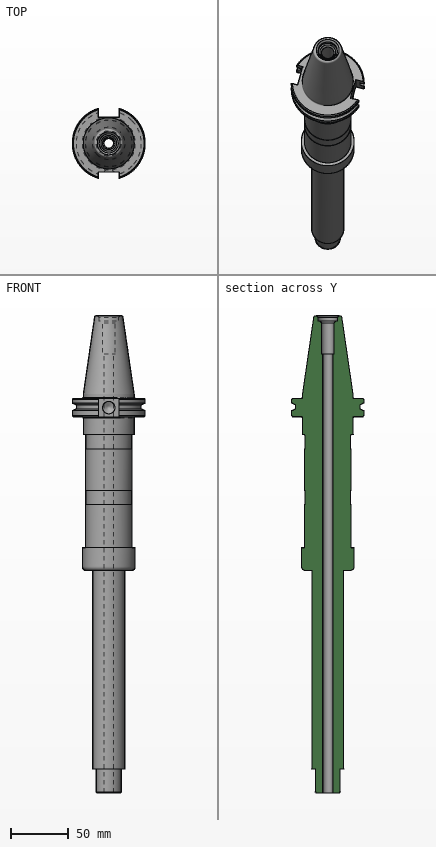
import cadquery as cq
total_length = 413.5
gauge_z = 345.0
flange_top_z = 342.0
groove_z = 334.5
flange_bottom_z = 325.7
collar_bottom_z = 310.5
body_joint_zs = (298.0, 262.0, 249.5)
nut_top_z = 212.5
nut_bottom_z = 192.5
shank_bottom_z = 20.5

taper_ratio = 7 / 24
gauge_diameter = 44.2
flange_diameter = 63.2
groove_floor_diameter = 56.2
body_diameter = 40.5
sleeve_diameter = 40.0
nut_diameter = 46.0
shank_diameter = 28.0
tip_diameter = 22.0

small_end_fillet = 1.5
flange_chamfer = 1.05
shoulder_fillet = 1.0
nut_fillet = 3.5
tip_chamfer = 1.0

groove_mouth_width = 6.5
groove_floor_width = 3.5

slot_width = 17.8
front_slot_floor = 25.0
rear_slot_floor = 22.7
dimple_diameter = 10.7
dimple_depth = 3.5

mouth_diameter = 20.0
pilot_diameter = 16.5
countersink_diameter = 13.5
thread_diameter = 10.7
coolant_diameter = 8.3
mouth_depth = 1.5
pilot_depth = 4.5
countersink_depth = 6.0
thread_depth = 33.0

small_end_diameter = gauge_diameter - (total_length - gauge_z) * taper_ratio
flange_height = flange_top_z - flange_bottom_z
flange_mid_z = (flange_top_z + flange_bottom_z) / 2


def turned(profile):
    """Close a radius-height outline and spin it around the Z axis."""
    return profile.close().revolve(360, (0, 0), (0, 1))


def cylinder(diameter, bottom, top):
    return cq.Workplane("XY").workplane(offset=bottom).circle(diameter / 2).extrude(top - bottom)


def head():
    """Taper, grooved flange and the collar below it, as one turned outline."""
    neck = gauge_diameter / 2
    rim = flange_diameter / 2
    groove_floor = groove_floor_diameter / 2
    body = sleeve_diameter / 2
    half_mouth = groove_mouth_width / 2
    half_floor = groove_floor_width / 2
    fillet = shoulder_fillet
    blank = turned(
        cq.Workplane("XZ")
        .moveTo(0, total_length)
        .lineTo(small_end_diameter / 2, total_length)
        .lineTo(neck, gauge_z)
        .lineTo(neck, flange_top_z + fillet)
        .radiusArc((neck + fillet, flange_top_z), -fillet)
        .lineTo(rim - flange_chamfer, flange_top_z)
        .lineTo(rim, flange_top_z - flange_chamfer)
        .lineTo(rim, groove_z + half_mouth)
        .lineTo(groove_floor, groove_z + half_floor)
        .lineTo(groove_floor, groove_z - half_floor)
        .lineTo(rim, groove_z - half_mouth)
        .lineTo(rim, flange_bottom_z + flange_chamfer)
        .lineTo(rim - flange_chamfer, flange_bottom_z)
        .lineTo(neck + fillet, flange_bottom_z)
        .radiusArc((neck, flange_bottom_z - fillet), -fillet)
        .lineTo(neck, collar_bottom_z)
        .lineTo(body + fillet, collar_bottom_z)
        .radiusArc((body, collar_bottom_z - fillet), -fillet)
        .lineTo(0, collar_bottom_z - fillet)
    )
    return blank.faces(">Z").edges().fillet(small_end_fillet)


def body_sleeves():
    """Sleeves of alternating diameter between the collar and the nut."""
    levels = (collar_bottom_z,) + body_joint_zs + (nut_top_z,)
    sleeves = cq.Workplane("XY")
    for index, (top, bottom) in enumerate(zip(levels, levels[1:])):
        diameter = body_diameter if index % 2 else sleeve_diameter
        sleeves = sleeves.union(cylinder(diameter, bottom, top))
    return sleeves


def nut():
    blank = cylinder(nut_diameter, nut_bottom_z, nut_top_z)
    return blank.faces("<Z").edges().fillet(nut_fillet)


def shank():
    tip = cylinder(tip_diameter, 0, shank_bottom_z).faces("<Z").chamfer(tip_chamfer)
    return tip.union(cylinder(shank_diameter, shank_bottom_z, nut_bottom_z))


def drive_slot(side, floor):
    depth = flange_diameter / 2
    slot = cq.Workplane("XY").box(slot_width, depth, flange_height)
    return slot.translate((0, side * (floor + depth / 2), flange_mid_z))


def dimple():
    """Conical drill point sunk into the front slot floor."""
    start = cq.Vector(0, -front_slot_floor, flange_mid_z)
    cone = cq.Solid.makeCone(dimple_diameter / 2, 0, dimple_depth, pnt=start, dir=cq.Vector(0, 1, 0))
    return cq.Workplane("XY").add(cone)


def stepped_bore():
    """Countersunk mouth, pilot, thread and the coolant hole right through."""
    pilot = pilot_diameter / 2
    thread = thread_diameter / 2
    coolant = coolant_diameter / 2
    return turned(
        cq.Workplane("XZ")
        .moveTo(0, total_length)
        .lineTo(mouth_diameter / 2, total_length)
        .lineTo(pilot, total_length - mouth_depth)
        .lineTo(pilot, total_length - pilot_depth)
        .lineTo(countersink_diameter / 2, total_length - pilot_depth)
        .lineTo(thread, total_length - countersink_depth)
        .lineTo(thread, total_length - thread_depth)
        .lineTo(coolant, total_length - thread_depth)
        .lineTo(coolant, 0)
        .lineTo(0, 0)
    )


result = head().cut(drive_slot(-1, front_slot_floor)).cut(drive_slot(1, rear_slot_floor)).cut(dimple())
result = result.union(body_sleeves()).union(nut()).union(shank())
result = result.cut(stepped_bore())